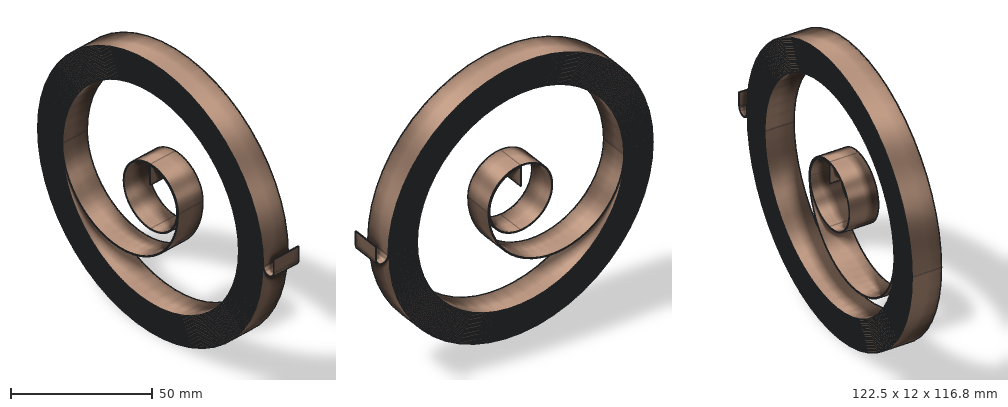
import cadquery as cq
import math

strip_width = 12.0
strip_thickness = 0.447
turn_clearance = 0.003
turn_pitch = strip_thickness + turn_clearance
half_strip = strip_thickness / 2
centre_shift = turn_pitch / 2

ring_outer_radius = 58.5
full_turns = 28

hub_outer_radius = 14.4
tongue_length = 8.7
tongue_corner_drop = 0.02

hook_radius = 2.725
hook_leg = 5.8

ring_radius = ring_outer_radius - half_strip
hub_radius = hub_outer_radius - half_strip


def arc(centre_x, centre_z, radius, start, end):
    """One circular stretch of the strip's centreline; angles in degrees, a falling angle is clockwise."""
    return {"x": centre_x, "z": centre_z, "radius": radius, "start": start, "end": end}


def hook_arcs():
    """Two quarter circles from the foot of the hook's leg to the ring's outermost turn."""
    centre_x = ring_radius + hook_radius
    return [arc(centre_x, 0, hook_radius, 0, -90), arc(centre_x, 0, hook_radius, -90, -180)]


def upper_half(turn):
    radius = ring_radius - turn * turn_pitch
    return [arc(0, 0, radius, 0, 180)]


def lower_half(centre_x, radius):
    return [arc(centre_x, 0, radius, 180, 270), arc(centre_x, 0, radius, 270, 360)]


def ring_arcs():
    """A spiral of half circles on two alternating centres, ending at the left of the innermost turn."""
    arcs = []
    for turn in range(full_turns):
        arcs += upper_half(turn)
        arcs += lower_half(-centre_shift, ring_radius - turn * turn_pitch - centre_shift)
    return arcs + upper_half(full_turns)


def crossing_arcs():
    """The half circle that leads from the ring's left side to the hub's right side."""
    left = -(ring_radius - full_turns * turn_pitch)
    return lower_half((left + hub_radius) / 2, (hub_radius - left) / 2)


def hub_arcs():
    """One and a quarter turns, winding inward, that end at the top of the hub."""
    left_half_radius = hub_radius - centre_shift
    return [
        arc(0, 0, hub_radius, 0, 90),
        arc(0, centre_shift, left_half_radius, 90, 270),
        arc(0, 0, hub_radius - turn_pitch, -90, 90),
    ]


def point_on(stretch, offset, angle):
    """Point of an arc moved `offset` to the left of the direction of travel."""
    turning = 1 if stretch["end"] > stretch["start"] else -1
    radius = stretch["radius"] - turning * offset
    a = math.radians(angle)
    return (stretch["x"] + radius * math.cos(a), stretch["z"] + radius * math.sin(a))


def follow(outline, stretch, offset, end):
    """Continue an outline along one side of an arc to the angle `end`."""
    middle = (stretch["start"] + stretch["end"]) / 2
    return outline.threePointArc(point_on(stretch, offset, middle), point_on(stretch, offset, end))


def strip_profile():
    """Closed outline of the edge-on strip: down its left side to the tongue and back up its right side."""
    arcs = hook_arcs() + ring_arcs() + crossing_arcs() + hub_arcs()
    hook_centreline = ring_radius + 2 * hook_radius
    leg_inside = hook_centreline - half_strip
    leg_outside = hook_centreline + half_strip
    tongue_top = hub_radius - turn_pitch + half_strip
    tongue_end = tongue_top - tongue_length

    outline = cq.Workplane("XZ", origin=(0, strip_width / 2, 0))
    outline = outline.moveTo(leg_outside, hook_leg).lineTo(leg_outside, 0)
    for stretch in arcs:
        outline = follow(outline, stretch, half_strip, stretch["end"])
    outline = outline.lineTo(0, tongue_end).lineTo(-strip_thickness, tongue_end)
    outline = outline.lineTo(-strip_thickness, tongue_top - tongue_corner_drop).lineTo(0, tongue_top)
    for stretch in reversed(arcs):
        outline = follow(outline, stretch, -half_strip, stretch["start"])
    return outline.lineTo(leg_inside, hook_leg).close()


result = strip_profile().extrude(strip_width)